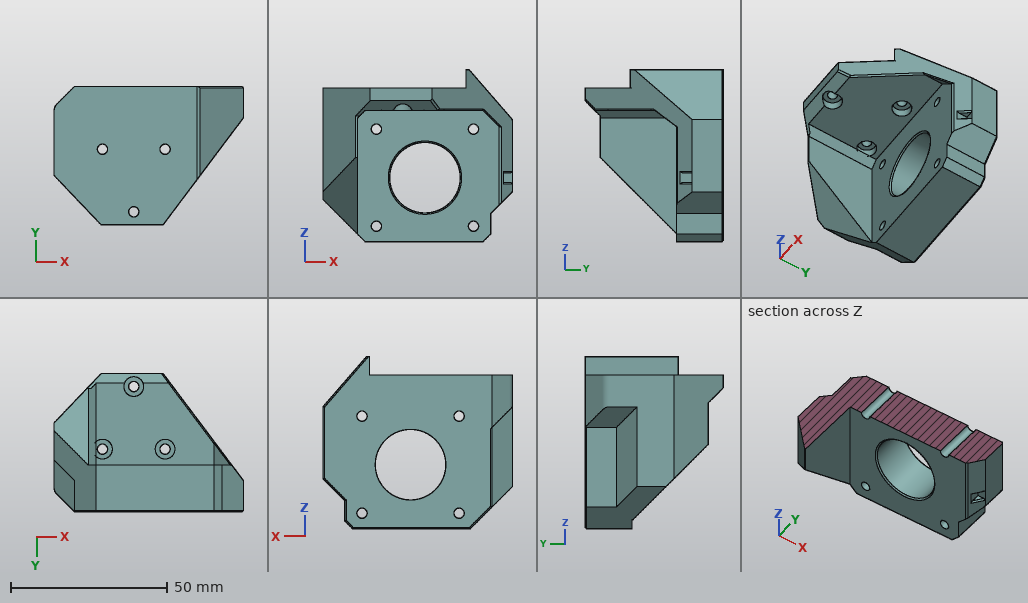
import cadquery as cq

width = 60.6
depth = 44.2
height = 55.0
deck_z = 49.2
edge_break = 0.5

plate_thickness = 15.0
motor_x = 32.6
motor_z = 20.5
bolt_pitch = 31.0
screw_hole = 3.2
bore = 22.5

pocket_left = 11.0
pocket_top = 42.0
motor_corner = 2.5
plate_right = 53.6

fin_left = 45.7
fin_top_width = 1.0
fin_slope_end_z = 39.0
right_cut_z = 15.95
left_bevel = 13.5

front_left_x = 15.1
front_right_x = 34.9
left_slant_y = 15.8
right_slant_y = 34.2
back_left_bevel = 6.55
back_left_round = 3.0

lip_height = 4.1
lip_overhang = 4.85
lower_slope_z = 26.95

recess_depth = back_left_bevel
recess_front_y = 27.6
recess_top_z = 38.95

mount_pitch = 20.0
mount_x = 25.5
mount_front_y = 4.2
head_diameter = 6.3

notch_left = 57.7
notch_height = 3.0

plate_front_y = depth - plate_thickness
lip_bottom_z = deck_z - lip_height
upper_screw_z = motor_z + bolt_pitch / 2
fin_right = fin_left + fin_top_width
recess_floor_top_z = recess_top_z - recess_depth
reach = 2 * width


def prism_xz(points, y_start, y_end):
    return cq.Workplane("XZ", origin=(0, y_start, 0)).polyline(points).close().extrude(y_start - y_end)


def prism_xy(points, z_start, z_end):
    return cq.Workplane("XY", origin=(0, 0, z_start)).polyline(points).close().extrude(z_end - z_start)


def prism_yz(points):
    return cq.Workplane("YZ").polyline(points).close().extrude(width)


def make_block():
    """Common volume of the outlines along the three axes."""
    plate_cut = width - plate_right
    outline = prism_xz([
        (0, deck_z),
        (fin_left, deck_z),
        (fin_left, height),
        (fin_right, height),
        (width, fin_slope_end_z),
        (width, right_cut_z),
        (plate_right, right_cut_z - plate_cut),
        (plate_right, motor_corner),
        (plate_right - motor_corner, 0),
        (left_bevel, 0),
        (0, left_bevel),
    ], 0, depth)
    plan = prism_xy([
        (front_left_x, 0),
        (front_right_x, 0),
        (width, right_slant_y),
        (width, depth),
        (back_left_bevel, depth),
        (0, depth - back_left_bevel),
        (0, left_slant_y),
    ], 0, height)
    back_left_corner = cq.selectors.NearestToPointSelector((0, depth - back_left_bevel, height / 2))
    plan = plan.edges(back_left_corner).fillet(back_left_round)
    slope_drop = plate_front_y - lip_overhang
    side = prism_yz([
        (0, height),
        (0, lip_bottom_z),
        (lip_overhang, lip_bottom_z - lip_overhang),
        (lip_overhang, lower_slope_z),
        (plate_front_y, lower_slope_z - slope_drop),
        (plate_front_y, 0),
        (depth, 0),
        (depth, height),
    ])
    return outline.intersect(plan).intersect(side)


def motor_pocket():
    """Space in front of the plate; its right corner cut runs on past the side."""
    corner_x = plate_right - motor_corner
    return prism_xz([
        (pocket_left, -reach),
        (pocket_left, pocket_top - motor_corner),
        (pocket_left + motor_corner, pocket_top),
        (corner_x, pocket_top),
        (corner_x + reach, pocket_top - reach),
    ], -reach, plate_front_y)


def left_recess():
    """Recess open to the back and the bottom; its front and top ends slope at 45 degrees."""
    outline = prism_xz([
        (0, recess_top_z),
        (recess_depth, recess_floor_top_z),
        (recess_depth, 0),
        (0, 0),
    ], 0, depth)
    plan = prism_xy([
        (0, recess_front_y),
        (recess_depth, recess_front_y + recess_depth),
        (recess_depth, depth),
        (0, depth),
    ], 0, height)
    return outline.intersect(plan)


def side_notch():
    """Notch whose back lies level with the rear end of the right slanted face."""
    notch_width = width - notch_left
    notch = cq.Workplane("XY").box(notch_width, right_slant_y, notch_height, centered=(False, False, True))
    return notch.translate((notch_left, 0, motor_z))


def slanted_face(body):
    """The flat face across the front right corner."""
    normal = cq.Vector(right_slant_y, front_right_x - width, 0)
    return body.faces(cq.selectors.ParallelDirSelector(normal))


def break_plate_edge(body):
    """Chamfer the upright edge between the motor plate and the slanted face."""
    upright = cq.selectors.BoxSelector((plate_right, 0, right_cut_z), (notch_left, depth, upper_screw_z))
    return slanted_face(body).edges(upright).chamfer(edge_break)


def break_pocket_rim(body):
    """Chamfer the slanted face where it meets the deck underside and the pocket."""
    rim = cq.selectors.BoxSelector((0, 0, upper_screw_z), (notch_left, depth, lip_bottom_z))
    return slanted_face(body).edges(rim).chamfer(edge_break)


def break_notch_edges(body):
    """Chamfer the slanted face along the upper and lower edges of the notch."""
    notch_zone = cq.selectors.BoxSelector(
        (notch_left + edge_break, 0, motor_z - notch_height),
        (width - edge_break, depth, motor_z + notch_height),
    )
    return slanted_face(body).edges(notch_zone).chamfer(edge_break)


def break_back_outline(body):
    """Chamfer the back edges, leaving the deck, the fin top and the upper left bevel sharp."""
    back = body.faces(">Y")
    right_side = cq.selectors.BoxSelector((fin_right, 0, 0), (reach, reach, deck_z))
    lower_side = cq.selectors.BoxSelector((0, 0, -reach), (fin_left, reach, recess_floor_top_z))
    return back.edges(right_side + lower_side).chamfer(edge_break)


def motor_holes():
    """Bore with a chamfered front edge and four screw holes, all through the plate."""
    front = cq.Workplane("XZ", origin=(motor_x, plate_front_y, motor_z))
    main_bore = front.circle(bore / 2).extrude(-plate_thickness)
    bevel = front.circle(bore / 2 + edge_break).workplane(offset=-edge_break).circle(bore / 2).loft()
    screws = front.rect(bolt_pitch, bolt_pitch, forConstruction=True).vertices()
    screws = screws.circle(screw_hole / 2).extrude(-plate_thickness)
    return main_bore.union(bevel).union(screws)


def mounting_holes():
    """Three deck screws with head clearance from below."""
    rear_y = mount_front_y + mount_pitch
    places = [
        (mount_x, mount_front_y),
        (mount_x - mount_pitch / 2, rear_y),
        (mount_x + mount_pitch / 2, rear_y),
    ]
    base = cq.Workplane("XY", origin=(0, 0, pocket_top)).pushPoints(places)
    shafts = base.circle(screw_hole / 2).extrude(deck_z - pocket_top)
    heads = base.circle(head_diameter / 2).extrude(lip_bottom_z - pocket_top)
    return shafts.union(heads)


body = make_block().cut(motor_pocket()).cut(left_recess()).cut(side_notch())
body = break_plate_edge(body)
body = break_pocket_rim(body)
body = break_notch_edges(body)
body = break_back_outline(body)
result = body.cut(motor_holes()).cut(mounting_holes())